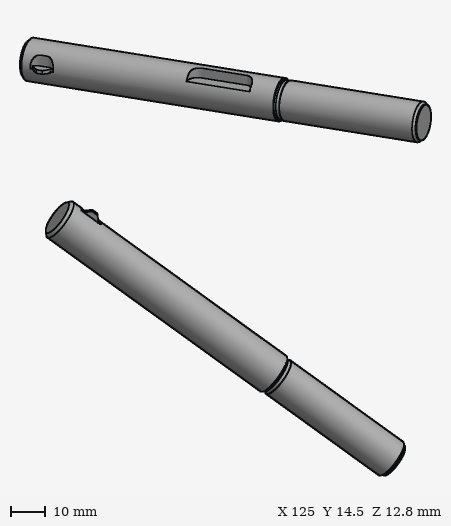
import cadquery as cq
import math

length = 125.0
body_radius = 12.8 / 2
body_length = 80.2
body_chamfer = 1.0
tail_radius = 12.0 / 2
tail_start = 82.0
tail_chamfer = 0.8
end_tip_length = 0.4

neck_radius = 11.6 / 2
groove_start = 80.9
groove_depth = 0.2

window_center_x = 62.5
window_length = 19.9
window_wall_y = -1.1
window_floor_z = 3.2
window_corner_radius = 3.0

tongue_center_x = 7.4
tongue_tip_y = -8.1
tongue_tip_half_width = 0.94
tongue_thickness = 1.1
tongue_flank_angle = 45.0
recess_wall_y = -5.0
recess_flat_half_width = 0.94
recess_arc_radius = 3.44
recess_floor_z = -0.19


def make_barrel():
    tip_radius = tail_radius - tail_chamfer
    tip_start = length - end_tip_length
    groove_middle = (groove_start + tail_start) / 2
    return (
        cq.Workplane("XY")
        .moveTo(0, 0)
        .lineTo(0, body_radius - body_chamfer)
        .lineTo(body_chamfer, body_radius)
        .lineTo(body_length, body_radius)
        .lineTo(body_length, neck_radius)
        .lineTo(groove_start, neck_radius)
        .threePointArc((groove_middle, neck_radius - groove_depth), (tail_start, neck_radius))
        .lineTo(tail_start, tail_radius)
        .lineTo(tip_start - tail_chamfer, tail_radius)
        .lineTo(tip_start, tip_radius)
        .lineTo(length, tip_radius)
        .lineTo(length, 0)
        .close()
        .revolve(360, (0, 0, 0), (1, 0, 0))
    )


def make_window():
    """Flat-floored cutter with two rounded inner corners."""
    depth = body_radius + window_wall_y
    return (
        cq.Workplane("XY", origin=(window_center_x, window_wall_y - depth / 2, window_floor_z))
        .rect(window_length, depth)
        .extrude(body_radius)
        .edges("|Z and >Y")
        .fillet(window_corner_radius)
    )


def make_recess():
    """Cutter with a flat back wall flaring into two quarter-round sides."""
    side_x = recess_flat_half_width + recess_arc_radius
    side_y = recess_wall_y - recess_arc_radius
    arc_diagonal = recess_arc_radius * math.sqrt(0.5)
    arc_x = recess_flat_half_width + arc_diagonal
    arc_y = side_y + arc_diagonal
    return (
        cq.Workplane("XY", origin=(tongue_center_x, 0, recess_floor_z))
        .moveTo(-side_x, side_y)
        .threePointArc((-arc_x, arc_y), (-recess_flat_half_width, recess_wall_y))
        .lineTo(recess_flat_half_width, recess_wall_y)
        .threePointArc((arc_x, arc_y), (side_x, side_y))
        .close()
        .extrude(body_radius)
    )


def make_tongue():
    """Plate widening inward from its blunt tip and ending on the recess wall."""
    root_half_width = tongue_tip_half_width + (recess_wall_y - tongue_tip_y) * math.tan(
        math.radians(tongue_flank_angle)
    )
    return (
        cq.Workplane("XY", origin=(tongue_center_x, 0, -tongue_thickness / 2))
        .moveTo(-tongue_tip_half_width, tongue_tip_y)
        .lineTo(tongue_tip_half_width, tongue_tip_y)
        .lineTo(root_half_width, recess_wall_y)
        .lineTo(-root_half_width, recess_wall_y)
        .close()
        .extrude(tongue_thickness)
    )


result = make_barrel().cut(make_window()).cut(make_recess()).union(make_tongue())